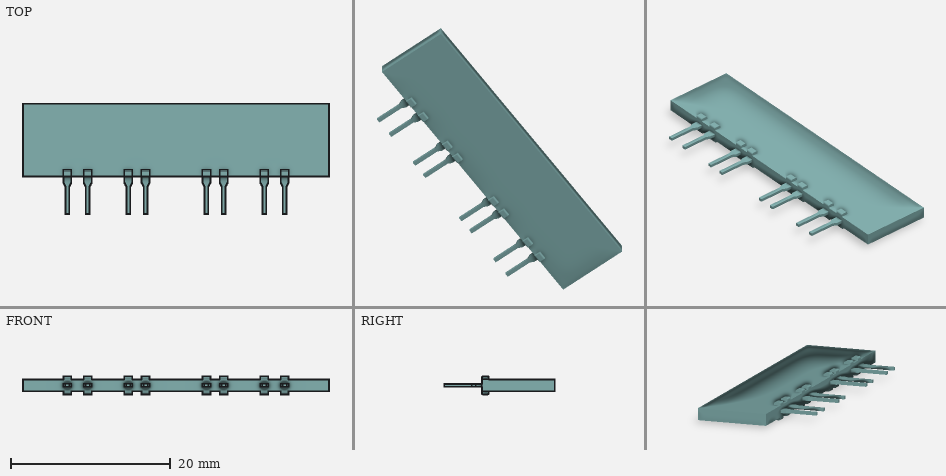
import cadquery as cq

PLATE_LENGTH = 38.35
PLATE_DEPTH = 9.14
PLATE_THICKNESS = 1.52

OVERALL_DEPTH = 13.84
LEAD_LENGTH = OVERALL_DEPTH - PLATE_DEPTH
LEAD_WIDTH = 1.02
PIN_WIDTH = 0.51
LEAD_THICKNESS = 0.38
ROOT_LENGTH = 0.76
TAPER_LENGTH = 0.5

OVERALL_HEIGHT = 2.29
TAB_HEIGHT = (OVERALL_HEIGHT - PLATE_THICKNESS) / 2
TAB_DEPTH = 0.89
TAB_FILLET = 0.2

LEAD_OFFSETS = (3.81, 5.97, 11.05, 13.59)


def make_plate():
    return cq.Workplane("XY").box(
        PLATE_LENGTH, PLATE_DEPTH, PLATE_THICKNESS, centered=(True, False, True)
    )


def make_lead():
    """Flat lead running from the plate edge in the -Y direction."""
    root_half = LEAD_WIDTH / 2
    pin_half = PIN_WIDTH / 2
    taper_end = ROOT_LENGTH + TAPER_LENGTH
    return (
        cq.Workplane("XY")
        .moveTo(-root_half, 0)
        .lineTo(-root_half, -ROOT_LENGTH)
        .lineTo(-pin_half, -taper_end)
        .lineTo(-pin_half, -LEAD_LENGTH)
        .lineTo(pin_half, -LEAD_LENGTH)
        .lineTo(pin_half, -taper_end)
        .lineTo(root_half, -ROOT_LENGTH)
        .lineTo(root_half, 0)
        .close()
        .extrude(LEAD_THICKNESS / 2, both=True)
    )


def make_tab():
    """Upper clip tab, rounded along its front and back top edges."""
    return (
        cq.Workplane("XY", origin=(0, 0, PLATE_THICKNESS / 2))
        .box(LEAD_WIDTH, TAB_DEPTH, TAB_HEIGHT, centered=(True, False, False))
        .edges(">Z and |X")
        .fillet(TAB_FILLET)
    )


def make_terminal():
    """Lead with its upper and lower clip tabs, as three separate pieces."""
    upper_tab = make_tab()
    lower_tab = upper_tab.mirror("XY")
    return [make_lead(), upper_tab, lower_tab]


terminal = make_terminal()
result = make_plate()
for offset in LEAD_OFFSETS:
    for side in (-1, 1):
        for piece in terminal:
            result = result.union(piece.translate((side * offset, 0, 0)))

result = result.translate((0, (LEAD_LENGTH - PLATE_DEPTH) / 2, 0))